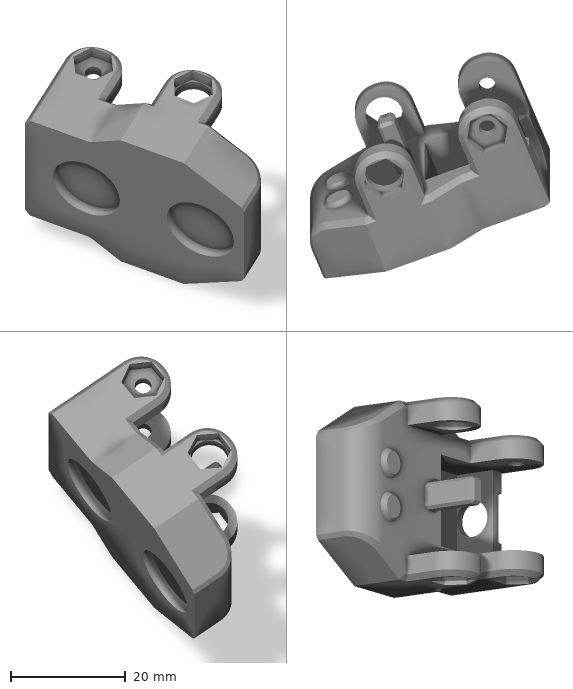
import cadquery as cq
import math

LENGTH = 42.26
HALF_HEIGHT = 31.85 / 2
ARM_TOP_Y = 21.26
BLOCK_TOP_Y = 10.56

NARROW_HALF_HEIGHT = 12.5
WIDE_START_X = 18.4
WIDE_END_X = 30.63
END_HALF_HEIGHT = 9.4
NECK_ANGLE = math.radians(30)
NECK_RADIUS = 2.0
END_CORNER_RADIUS = 5.0
EDGE_CHAMFER = 1.0

ARM_WIDTH = 10.35
ARM_CORNER_RADIUS = 4.9
REAR_ARM_X = ARM_WIDTH / 2
MID_ARM_X = 24.45
REAR_ARM_INNER_Z = 8.15
MID_ARM_INNER_Z = 11.6
PIVOT_Y = 16.63
SCREW_HOLE_DIAMETER = 2.9
BUSHING_HOLE_DIAMETER = 6.5
NUT_ACROSS_FLATS = 6.6
NUT_POCKET_DEPTH = 2.4
MID_NUT_TILT = -2.5

TAB_RIGHT_X = 24.2
TAB_THICKNESS = 3.0
TAB_HALF_HEIGHT = 2.4
TAB_TOP_Y = 20.65
TAB_CHAMFER = 0.55

MAGNET_DIAMETER = 12.9
MAGNET_DEPTH = 1.9
MAGNET_XS = (11.82, 33.8)

PAD_X = 35.17
PAD_Z = 3.9
PAD_BASE_RADIUS = 2.67
PAD_TOP_RADIUS = 2.03
PAD_HEIGHT = 0.93

WEB_HOLE_Y = 6.15
WEB_HOLE_DIAMETER = 6.4
RECESS_RADIUS = 4.2
RECESS_DEPTH = 1.79
WEB_THICKNESS = 1.63
WALL_THICKNESS = RECESS_DEPTH + WEB_THICKNESS
WALL_BEVEL_RUN = 1.0
WALL_BEVEL_DROP = 0.55
CAVITY_END_X = MID_ARM_X - ARM_WIDTH / 2
CAVITY_FLOOR_Y = 3.0

SIDES = (1, -1)
CORNER_SECTIONS = 5
CUTTER_OVERSHOOT = 0.2


def extrude_y(sketch, length):
    """Extrude a closed XZ-plane sketch toward +Y."""
    return sketch.extrude(-length)


def end_slope_half_height(x):
    """Half height of the block on its sloping stretch toward the +X end."""
    return HALF_HEIGHT - (x - WIDE_END_X) * (HALF_HEIGHT - END_HALF_HEIGHT) / (LENGTH - WIDE_END_X)


def block_outline():
    """Prism of the X-Z outline with rounded necks."""
    neck_x = WIDE_START_X - (HALF_HEIGHT - NARROW_HALF_HEIGHT) / math.tan(NECK_ANGLE)
    upper = [
        (0, NARROW_HALF_HEIGHT - EDGE_CHAMFER),
        (EDGE_CHAMFER, NARROW_HALF_HEIGHT),
        (neck_x, NARROW_HALF_HEIGHT),
        (WIDE_START_X, HALF_HEIGHT),
        (WIDE_END_X, HALF_HEIGHT),
        (LENGTH, END_HALF_HEIGHT),
    ]
    lower = [(x, -z) for x, z in reversed(upper)]
    prism = extrude_y(cq.Workplane("XZ").polyline(upper + lower).close(), BLOCK_TOP_Y)
    for side in SIDES:
        neck_middle = (neck_x, BLOCK_TOP_Y / 2, side * NARROW_HALF_HEIGHT)
        prism = prism.edges(cq.selectors.NearestToPointSelector(neck_middle)).fillet(NECK_RADIUS)
    return prism


def end_edge_cutter():
    """Wedge that bevels the edge between the sloping face and the rounded +X end.

    Each triangular section touches both faces where a ball of radius
    EDGE_CHAMFER rolling along the edge would, and overshoots them to cut cleanly.
    """
    center_x = LENGTH - END_CORNER_RADIUS
    center_y = BLOCK_TOP_Y - END_CORNER_RADIUS
    slope_angle = math.atan2(HALF_HEIGHT - END_HALF_HEIGHT, LENGTH - WIDE_END_X)
    slope_normal = cq.Vector(math.sin(slope_angle), 0, math.cos(slope_angle))
    ball_path_radius = END_CORNER_RADIUS - EDGE_CHAMFER

    def section(angle, drop=0.0):
        outward = cq.Vector(math.cos(angle), math.sin(angle), 0)
        ball_x = center_x + ball_path_radius * outward.x
        ball_z = end_slope_half_height(ball_x) - EDGE_CHAMFER / slope_normal.z
        ball = cq.Vector(ball_x, center_y + ball_path_radius * outward.y - drop, ball_z)
        on_end = ball + outward * EDGE_CHAMFER
        on_slope = ball + slope_normal * EDGE_CHAMFER
        overshoot = (on_slope - on_end) * CUTTER_OVERSHOOT
        outside = ball + (on_end - ball + on_slope - ball) * (1 + CUTTER_OVERSHOOT)
        return cq.Wire.makePolygon([on_end - overshoot, outside, on_slope + overshoot], close=True)

    angles = [math.pi / 2 * i / (CORNER_SECTIONS - 1) for i in range(CORNER_SECTIONS)]
    around_corner = cq.Solid.makeLoft([section(a) for a in angles])
    down_end = cq.Solid.makeLoft([section(0), section(0, center_y)], True)
    return cq.Workplane(around_corner).union(cq.Workplane(down_end))


def block():
    """Low block with a rounded +X end and bevelled upper rim."""
    end_round = (
        cq.Workplane("XY").rect(LENGTH, BLOCK_TOP_Y, centered=False).extrude(HALF_HEIGHT, both=True)
        .edges("|Z and >X and >Y").fillet(END_CORNER_RADIUS)
    )
    bevelled = block_outline().faces(">Y").edges("not |Z").chamfer(EDGE_CHAMFER)
    cutter = end_edge_cutter()
    return bevelled.intersect(end_round).cut(cutter).cut(cutter.mirror("XY"))


def arm(center_x, inner_z, outer_z):
    """Round-cornered hinge arm on the +Z side with a bevelled outer rim."""
    height = outer_z - inner_z
    blank = (
        cq.Workplane("XY", origin=(center_x, ARM_TOP_Y / 2, inner_z)).rect(ARM_WIDTH, ARM_TOP_Y)
        .extrude(height).edges("|Z and >Y").fillet(ARM_CORNER_RADIUS)
    )
    return blank.faces(">Z").edges("not <Y").chamfer(EDGE_CHAMFER)


def nut_and_bore(center_x, outer_z, hole_diameter, tilt):
    """Hexagonal nut pocket in the outer face and the hole through the arm on the +Z side."""
    nut_diameter = NUT_ACROSS_FLATS / math.cos(math.pi / 6)
    hole = cq.Workplane("XY").circle(hole_diameter / 2).extrude(outer_z)
    nut = (
        cq.Workplane("XY").polygon(6, nut_diameter).extrude(NUT_POCKET_DEPTH)
        .rotate((0, 0, 0), (0, 0, 1), tilt).translate((0, 0, outer_z - NUT_POCKET_DEPTH))
    )
    return hole.union(nut).translate((center_x, PIVOT_Y, 0))


def tab():
    """Upright central tab with bevelled side and top edges, rooted in the block."""
    return (
        cq.Workplane("XY", origin=(TAB_RIGHT_X - TAB_THICKNESS, CAVITY_FLOOR_Y, 0))
        .box(TAB_THICKNESS, TAB_TOP_Y - CAVITY_FLOOR_Y, 2 * TAB_HALF_HEIGHT, centered=(False, False, True))
        .edges("|Y or >Y").chamfer(TAB_CHAMFER)
    )


def pad(z):
    """Truncated cone on the block top."""
    cone = cq.Solid.makeCone(
        PAD_BASE_RADIUS, PAD_TOP_RADIUS, PAD_HEIGHT, cq.Vector(PAD_X, BLOCK_TOP_Y, z), cq.Vector(0, 1, 0)
    )
    return cq.Workplane(cone)


def magnet_pockets():
    """Two round blind pockets in the flat face."""
    pockets = cq.Workplane("XZ").pushPoints([(x, 0) for x in MAGNET_XS]).circle(MAGNET_DIAMETER / 2)
    return extrude_y(pockets, MAGNET_DEPTH)


def cavity():
    """Box-shaped cavity behind the end wall, open toward +Y."""
    length = CAVITY_END_X - WALL_THICKNESS
    depth = BLOCK_TOP_Y - CAVITY_FLOOR_Y
    return (
        cq.Workplane("XY", origin=(WALL_THICKNESS, CAVITY_FLOOR_Y, 0))
        .box(length, depth, 2 * REAR_ARM_INNER_Z, centered=(False, False, True))
    )


def u_slot(half_width, depth, top_flare):
    """U-shaped slot in the -X face with a round bottom, flaring where it opens toward +Y."""
    flare_start_y = BLOCK_TOP_Y - top_flare
    return (
        cq.Workplane("YZ")
        .moveTo(BLOCK_TOP_Y, half_width + top_flare)
        .lineTo(flare_start_y, half_width)
        .lineTo(WEB_HOLE_Y, half_width)
        .threePointArc((WEB_HOLE_Y - half_width, 0), (WEB_HOLE_Y, -half_width))
        .lineTo(flare_start_y, -half_width)
        .lineTo(BLOCK_TOP_Y, -half_width - top_flare)
        .close()
        .extrude(depth)
    )


def recess_mouth():
    """Bevel around the recess: a U-shaped frustum narrowing inward."""
    wide = RECESS_RADIUS + WALL_BEVEL_DROP
    cone = (
        cq.Workplane("YZ").center(WEB_HOLE_Y, 0).circle(wide)
        .workplane(offset=WALL_BEVEL_RUN).circle(RECESS_RADIUS).loft()
    )
    flare = (
        cq.Workplane("XZ", origin=(0, WEB_HOLE_Y, 0))
        .polyline([(0, wide), (WALL_BEVEL_RUN, RECESS_RADIUS), (WALL_BEVEL_RUN, -RECESS_RADIUS), (0, -wide)])
        .close().extrude(WEB_HOLE_Y - BLOCK_TOP_Y)
    )
    return cone.union(flare)


def wall_cuts():
    """Recess with bevelled mouth, bore through the web and bevel along the wall top."""
    recess = u_slot(RECESS_RADIUS, RECESS_DEPTH, WALL_BEVEL_DROP)
    bore = cq.Workplane("YZ").center(WEB_HOLE_Y, 0).circle(WEB_HOLE_DIAMETER / 2).extrude(WALL_THICKNESS)
    top_bevel = (
        cq.Workplane("XY")
        .polyline([(0, BLOCK_TOP_Y - WALL_BEVEL_DROP), (WALL_BEVEL_RUN, BLOCK_TOP_Y), (0, BLOCK_TOP_Y)])
        .close().extrude(REAR_ARM_INNER_Z, both=True)
    )
    return recess, recess_mouth(), bore, top_bevel


def build():
    """Join the block, arms, pads and tab after making every cut."""
    body = block()
    for center_x, inner_z, outer_z, hole_diameter, nut_tilt in (
        (REAR_ARM_X, REAR_ARM_INNER_Z, NARROW_HALF_HEIGHT, SCREW_HOLE_DIAMETER, 0),
        (MID_ARM_X, MID_ARM_INNER_Z, HALF_HEIGHT, BUSHING_HOLE_DIAMETER, MID_NUT_TILT),
    ):
        upper_arm = arm(center_x, inner_z, outer_z)
        body = body.union(upper_arm).union(upper_arm.mirror("XY"))
        bore = nut_and_bore(center_x, outer_z, hole_diameter, nut_tilt)
        body = body.cut(bore).cut(bore.mirror("XY"))
    for cut in (cavity(), magnet_pockets(), *wall_cuts()):
        body = body.cut(cut)
    for side in SIDES:
        body = body.union(pad(side * PAD_Z))
    return body.union(tab())


result = build()